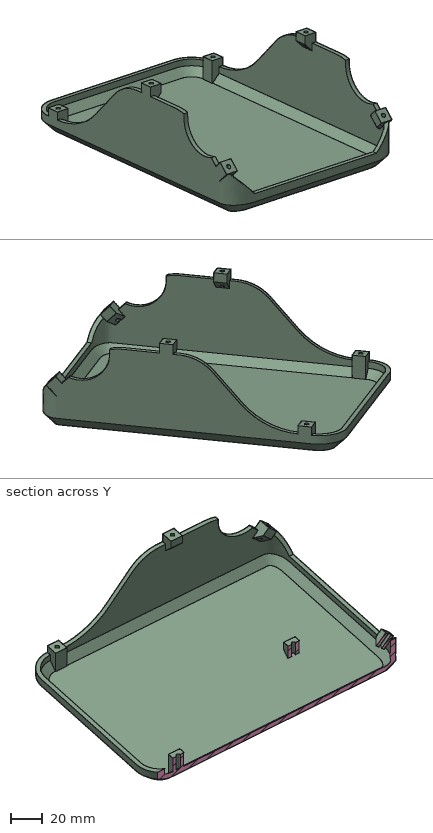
import cadquery as cq
import math

LENGTH = 196.4
WIDTH = 135.7
HEIGHT = 64.2
WALL = 3.1
FLOOR = 3.0
RIM_Z = 12.8
BEVEL = 7.0
FLOOR_INSET = 8.5
SLOPE_TOP_Z = FLOOR + FLOOR_INSET - WALL
FRONT_CORNER = 18.0
REAR_CORNER_X = 12.8

POST = 8.8
POST_DROP = 6.0
HOLE_DIAMETER = 2.7
LOW_POST_X = FRONT_CORNER + POST / 2
LOW_POST_Z = 18.3
HIGH_POST_X = 112.3
REAR_POST_X = 187.2
REAR_POST_Z = 31.8
REAR_POST_TILT = 45.0

CREST_Z = 57.7
CREST_START_X = 103.9
CREST_END_X = 140.6
CREST_RADIUS = 29.8
FOOT_X = FRONT_CORNER + POST
FOOT_RADIUS = 50.7
NOTCH_X = 168.9
NOTCH_Z = 54.0
NOTCH_RADIUS = 19.8
SEAT_DEPTH = 5.7

REAR_X = LENGTH - REAR_CORNER_X


def tray_outline(inset, z):
    """Tray outline moved inwards by inset: round front corners, elliptical rear corners."""
    front_r = FRONT_CORNER - inset
    rear_a = REAR_CORNER_X - inset
    return (
        cq.Workplane("XY", origin=(0, 0, z))
        .moveTo(FRONT_CORNER, inset)
        .lineTo(REAR_X, inset)
        .ellipseArc(rear_a, front_r, 270, 360)
        .lineTo(LENGTH - inset, WIDTH - FRONT_CORNER)
        .ellipseArc(rear_a, front_r, 0, 90)
        .lineTo(FRONT_CORNER, WIDTH - inset)
        .radiusArc((inset, WIDTH - FRONT_CORNER), -front_r)
        .lineTo(inset, FRONT_CORNER)
        .radiusArc((FRONT_CORNER, inset), -front_r)
        .close()
    )


def bevelled_block(low_inset, low_z, high_inset, high_z):
    """Upright block up to the full height on a base that widens upwards."""
    low = tray_outline(low_inset, low_z).val()
    high = tray_outline(high_inset, high_z).val()
    base = cq.Workplane(cq.Solid.makeLoft([low, high], True))
    return base.union(tray_outline(high_inset, high_z).extrude(HEIGHT - high_z))


def side_wall_region():
    """Space kept for the two side walls: their XZ outline drawn across the full width."""
    foot_center_z = RIM_Z + FOOT_RADIUS
    crest_center_z = CREST_Z - CREST_RADIUS
    run = CREST_START_X - FOOT_X
    fall = foot_center_z - crest_center_z
    slope = math.asin((FOOT_RADIUS + CREST_RADIUS) / math.hypot(run, fall)) - math.atan2(fall, run)

    def foot_point(angle):
        return (FOOT_X + FOOT_RADIUS * math.sin(angle), foot_center_z - FOOT_RADIUS * math.cos(angle))

    def crest_point(center_x, angle):
        return (center_x + CREST_RADIUS * math.sin(angle), crest_center_z + CREST_RADIUS * math.cos(angle))

    def notch_point(angle):
        return (NOTCH_X + NOTCH_RADIUS * math.cos(angle), NOTCH_Z + NOTCH_RADIUS * math.sin(angle))

    notch_left = NOTCH_X - NOTCH_RADIUS
    end_angle = math.asin((notch_left - CREST_END_X) / CREST_RADIUS)

    seat_sum = REAR_POST_X + REAR_POST_Z - SEAT_DEPTH * math.sqrt(2)
    seat_gap = (seat_sum - NOTCH_X - NOTCH_Z) / math.sqrt(2)
    notch_end = math.radians(REAR_POST_TILT) - math.acos(seat_gap / NOTCH_RADIUS)
    notch_middle = (notch_end + 3 * math.pi) / 2

    return (
        cq.Workplane("XZ")
        .moveTo(FRONT_CORNER, 0)
        .lineTo(FRONT_CORNER, RIM_Z)
        .lineTo(FOOT_X, RIM_Z)
        .threePointArc(foot_point(slope / 2), foot_point(slope))
        .lineTo(*crest_point(CREST_START_X, -slope))
        .threePointArc(crest_point(CREST_START_X, -slope / 2), (CREST_START_X, CREST_Z))
        .lineTo(CREST_END_X, CREST_Z)
        .threePointArc(crest_point(CREST_END_X, end_angle / 2), crest_point(CREST_END_X, end_angle))
        .lineTo(notch_left, NOTCH_Z)
        .threePointArc(notch_point(notch_middle), notch_point(notch_end))
        .lineTo(REAR_X, seat_sum - REAR_X)
        .lineTo(REAR_X, 0)
        .close()
        .extrude(-WIDTH)
    )


def rear_corner_region():
    """Space kept for the rear corners: their tops fall at 45 degrees to the rim."""
    corner_z = RIM_Z + FRONT_CORNER
    return (
        cq.Workplane("YZ", origin=(REAR_X, 0, 0))
        .polyline([
            (0, 0), (0, corner_z), (FRONT_CORNER, RIM_Z),
            (WIDTH - FRONT_CORNER, RIM_Z), (WIDTH, corner_z), (WIDTH, 0),
        ])
        .close()
        .extrude(REAR_CORNER_X)
    )


def bracket_post():
    """Post with its top at Z = 0, carried from the Y = 0 side by a 45 degree support."""
    return (
        cq.Workplane("YZ", origin=(-POST / 2, 0, 0))
        .polyline([(0, 0), (POST, 0), (POST, -POST_DROP), (0, -POST_DROP - POST)])
        .close()
        .extrude(POST)
    )


def column_post():
    """Post with its top at Z = 0, long enough to reach the underside of the tray."""
    return cq.Workplane().rect(POST, POST).extrude(-LOW_POST_Z).translate((0, POST / 2, 0))


def screw_hole():
    """Hole down the middle of a post, as long as a bracket post is high."""
    return cq.Workplane("XY", origin=(0, POST / 2, 0)).circle(HOLE_DIAMETER / 2).extrude(-POST_DROP - POST)


def place_low(shape):
    return shape.translate((LOW_POST_X, 0, LOW_POST_Z))


def place_high(shape):
    return shape.translate((HIGH_POST_X, 0, HEIGHT))


def place_rear(shape):
    tilted = shape.rotate((0, 0, 0), (0, 1, 0), REAR_POST_TILT)
    return tilted.translate((REAR_POST_X, 0, REAR_POST_Z))


def on_both_sides(shape):
    mirrored = shape.mirror("XZ", (0, WIDTH / 2, 0))
    return shape.union(mirrored)


outside = bevelled_block(BEVEL, 0, 0, BEVEL)
cavity = bevelled_block(FLOOR_INSET, FLOOR, WALL, SLOPE_TOP_Z)
rim_region = cq.Workplane().box(LENGTH, WIDTH, RIM_Z, centered=False)
kept = rim_region.union(side_wall_region()).union(rear_corner_region())
tray = outside.intersect(kept).cut(cavity)

low_post = place_low(column_post()).intersect(outside)
posts = low_post.union(place_high(bracket_post())).union(place_rear(bracket_post()))
holes = place_low(screw_hole()).union(place_high(screw_hole())).union(place_rear(screw_hole()))
result = tray.union(on_both_sides(posts.cut(holes)))